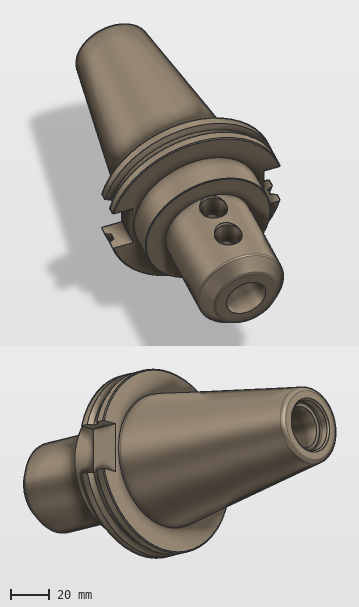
import cadquery as cq
import math

length = 190.5
taper_end = 102.9
flange_start = 104.4
flange_end = 120.5
collar_end = 136.8
nose_chamfer_start = 183.3

taper_large_diameter = 70.9
taper_small_diameter = 40.4
collar_diameter = 70.0
flange_diameter = 97.2
nose_diameter = 47.8
nose_end_diameter = 34.9
nose_edge_fillet = 1.5
collar_chamfer = 0.4

small_end_fillet = 2.3
flange_chamfer = 0.5

groove_center = 112.5
groove_floor_width = 3.5
groove_floor_diameter = 91.3
groove_wall_angle = math.radians(30)

bore_diameter = 22.0
mouth_diameter = 26.7
seat_diameter = 26.3
seat_cone_start = 4.5
seat_cone_end = 5.5
mouth_depth = 6.1
mouth_chamfer = 1.0

slot_width = 25.7
slot_floor_back = 37.5
slot_floor_front = 35.5

screw_diameter = 14.3
screw_chamfer_base = 22.9
screw_positions = (144.6, 165.4)


def cylinder(start, end, diameter):
    """Cylinder on the X axis."""
    return cq.Workplane("YZ", origin=(start, 0, 0)).circle(diameter / 2).extrude(end - start)


def make_taper():
    profile = [
        (0, 0),
        (0, taper_small_diameter / 2),
        (taper_end, taper_large_diameter / 2),
        (taper_end, 0),
    ]
    taper = cq.Workplane("XY").polyline(profile).close().revolve(360, (0, 0, 0), (1, 0, 0))
    return taper.faces("<X").edges().fillet(small_end_fillet)


def make_groove_cutter():
    floor_radius = groove_floor_diameter / 2
    rim_radius = flange_diameter / 2
    floor_half = groove_floor_width / 2
    rim_half = floor_half + (rim_radius - floor_radius) * math.tan(groove_wall_angle)
    profile = [
        (groove_center - floor_half, floor_radius),
        (groove_center - rim_half, rim_radius),
        (groove_center + rim_half, rim_radius),
        (groove_center + floor_half, floor_radius),
    ]
    return cq.Workplane("XY").polyline(profile).close().revolve(360, (0, 0, 0), (1, 0, 0))


def make_slot_cutter(floor, side):
    """Slot through the flange, open outward; side is +1 for +Y and -1 for -Y."""
    depth = flange_diameter / 2 - floor
    return cq.Workplane("XY").box(flange_end - flange_start, depth, slot_width).translate(
        ((flange_start + flange_end) / 2, side * (floor + depth / 2), 0)
    )


def make_flange():
    flange = cylinder(flange_start, flange_end, flange_diameter).edges().chamfer(flange_chamfer)
    flange = flange.cut(make_groove_cutter())
    flange = flange.cut(make_slot_cutter(slot_floor_back, 1))
    return flange.cut(make_slot_cutter(slot_floor_front, -1))


def make_collar():
    collar = cylinder(flange_start, collar_end, collar_diameter)
    return collar.faces(">X").chamfer(collar_chamfer)


def make_nose():
    chamfer_length = length - nose_chamfer_start
    chamfer_height = (nose_diameter - nose_end_diameter) / 2
    nose = cylinder(collar_end, length, nose_diameter)
    nose = nose.faces(">X").chamfer(chamfer_length, chamfer_height)
    return nose.faces("%CONE").edges().fillet(nose_edge_fillet)


def make_bore():
    mouth_radius = mouth_diameter / 2
    seat_radius = seat_diameter / 2
    profile = [
        (0, 0),
        (0, mouth_radius + mouth_chamfer),
        (mouth_chamfer, mouth_radius),
        (seat_cone_start, mouth_radius),
        (seat_cone_end, seat_radius),
        (mouth_depth, seat_radius),
        (mouth_depth, bore_diameter / 2),
        (length, bore_diameter / 2),
        (length, 0),
    ]
    return cq.Workplane("XY").polyline(profile).close().revolve(360, (0, 0, 0), (1, 0, 0))


def make_screw_hole_cutter(position):
    radius = screw_diameter / 2
    top = nose_diameter / 2
    profile = [
        (0, 0),
        (radius, 0),
        (radius, screw_chamfer_base),
        (radius + top - screw_chamfer_base, top),
        (0, top),
    ]
    cutter = cq.Workplane("XZ").polyline(profile).close().revolve(360, (0, 0, 0), (0, 1, 0))
    return cutter.translate((position, 0, 0))


result = make_taper()
result = result.union(cylinder(taper_end, flange_start, taper_large_diameter))
result = result.union(make_flange())
result = result.union(make_collar())
result = result.union(make_nose())
result = result.cut(make_bore())
for position in screw_positions:
    result = result.cut(make_screw_hole_cutter(position))